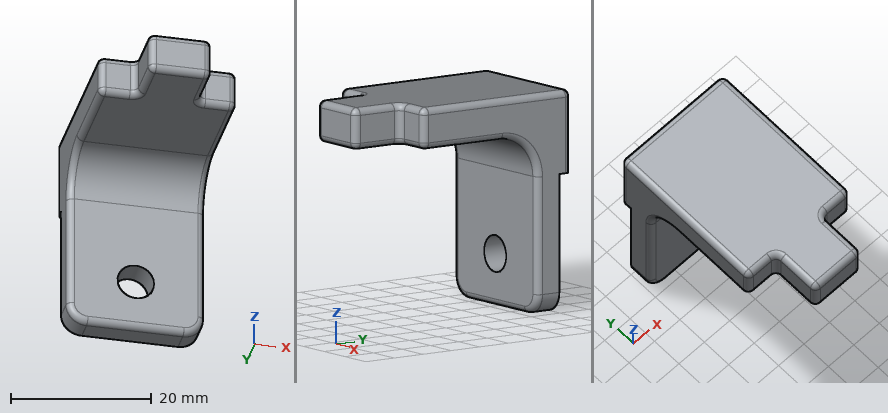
import cadquery as cq

width = 20.0
length = 34.0
height = 32.0

arm_thickness = 6.0
tongue_width = 9.0
tongue_length = 8.0
edge_radius = 1.0

block_height = 12.0
step_depth = 2.0
leg_thickness = 4.0
inside_radius = block_height - arm_thickness
leg_corner_radius = 3.0
hole_diameter = 5.3
hole_height = 7.5

arm_bottom = height - arm_thickness
block_bottom = height - block_height
leg_back = length - step_depth
leg_front = leg_back - leg_thickness
half_width = width / 2
half_tongue = tongue_width / 2

pick_margin = 0.35


def side_profile():
    """L-shaped YZ section, extruded across the full width."""
    return (
        cq.Workplane("YZ")
        .moveTo(0, height)
        .lineTo(length, height)
        .lineTo(length, block_bottom)
        .lineTo(leg_back, block_bottom)
        .lineTo(leg_back, 0)
        .lineTo(leg_front, 0)
        .lineTo(leg_front, block_bottom)
        .radiusArc((leg_front - inside_radius, arm_bottom), -inside_radius)
        .lineTo(0, arm_bottom)
        .close()
        .extrude(half_width, both=True)
    )


def plan_prism():
    """T-shaped XY outline with rounded inner corners, extruded to the full height."""
    body_length = length - tongue_length
    body = cq.Workplane("XY").rect(width, body_length).extrude(height)
    body = body.translate((0, length - body_length / 2, 0))
    tongue = cq.Workplane("XY").rect(tongue_width, length).extrude(height)
    tongue = tongue.translate((0, length / 2, 0))
    inner_corners = cq.selectors.BoxSelector(
        (-half_tongue - pick_margin, tongue_length - pick_margin, -pick_margin),
        (half_tongue + pick_margin, tongue_length + pick_margin, height + pick_margin),
    )
    return body.union(tongue).edges("|Z").edges(inner_corners).fillet(edge_radius)


def round_leg_corners(part):
    return part.faces("<Z").edges("|Y").fillet(leg_corner_radius)


def round_outer_edges(part):
    """Round the top rim, the upright corners and the underside rim that runs down the leg front."""
    top_rim = part.faces(">Z").edges()
    back_corners = part.faces(">Y").edges("|Z")
    tongue_front = part.faces("<Y").edges()
    shoulder_zone = cq.selectors.BoxSelector(
        (-half_width, tongue_length - pick_margin, arm_bottom),
        (half_width, tongue_length + pick_margin, height),
    )
    shoulders = part.faces(shoulder_zone).faces("<Y").edges()
    arm_underside = cq.selectors.BoxSelector(
        (-width, 0, arm_bottom - pick_margin),
        (width, leg_front, arm_bottom + pick_margin),
    )
    arm_sides = part.faces("<X or >X").edges("|Y").edges(arm_underside)
    edges = top_rim.add(back_corners).add(tongue_front).add(shoulders).add(arm_sides)
    return part.newObject(edges.vals()).fillet(edge_radius)


def drill_leg_hole(part):
    drill = (
        cq.Workplane("XZ")
        .center(0, hole_height)
        .circle(hole_diameter / 2)
        .extrude(-length)
    )
    return part.cut(drill)


bracket = side_profile().intersect(plan_prism())
bracket = round_leg_corners(bracket)
bracket = round_outer_edges(bracket)
result = drill_leg_hole(bracket)